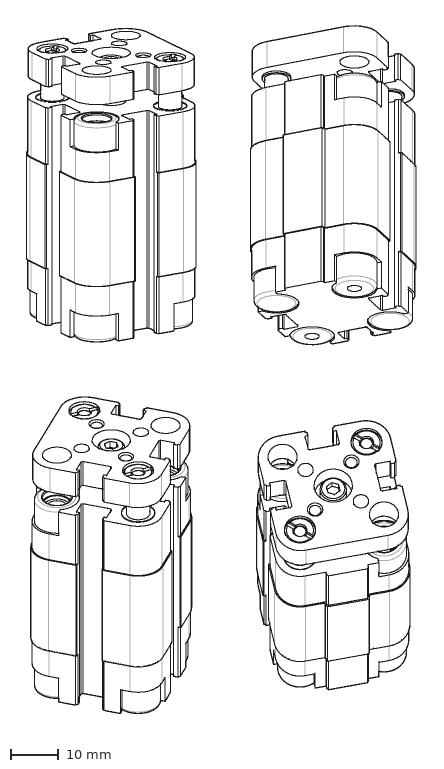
import cadquery as cq
import math

TOTAL_HEIGHT = 58.5
HOUSING_HEIGHT = 47.85
PLATE_THICKNESS = 6.0
PLATE_BOTTOM = TOTAL_HEIGHT - PLATE_THICKNESS
CORNER_PITCH = 9.0

MIDDLE_WIDTH = 29.0
END_WIDTH = 28.5
PLATE_WIDTH = 28.3
PLATE_CORNER_RADIUS = 5.3
MIDDLE_BOTTOM = 12.6
MIDDLE_TOP = 35.45

SLOT_NECK = 5.45
SLOT_WIDTH = 6.7
SLOT_FLOOR = 9.55
LIP_BACK = 12.9
CUT_MARGIN = 0.6
SLOT_FLOOR_CHAMFER = 0.3
END_LIP_ROUNDING = 0.4
MIDDLE_LIP_ROUNDING = 0.25

MIDDLE_RIB_WIDTH = 9.55
MIDDLE_RIB_REACH = 15.5
RIB_STEP = 0.3
RIB_BEVEL_WIDTH = 0.3
MIDDLE_BEVEL_HEIGHT = 0.8
END_BEVEL_HEIGHT = 0.4
END_RIB_WIDTH = MIDDLE_RIB_WIDTH - 2 * RIB_STEP
END_RIB_REACH = MIDDLE_RIB_REACH - RIB_STEP

BOSS_DIAMETER = 9.5
BOSS_ROUNDING = 0.7
POCKET_EDGE = 6.85
POCKET_HEIGHT = 6.0
BOSS_TOP = 47.95
BORE_RIM_DIAMETER = 6.5
BORE_DIAMETER = 6.0
BORE_DEPTH = 1.5
SEAT_DIAMETER = 5.5
SEAT_DEPTH = 0.8
SCREW_HOLE_DIAMETER = 3.0
SCREW_CONE_DIAMETER = 4.15
SCREW_CONE_DEPTH = 1.15

ROD_DIAMETER = 5.0
BUSH_DIAMETER = 7.0
BUSH_RECESS = 0.2
COLLAR_DIAMETER = 6.0
COLLAR_THICKNESS = 0.4
ROD_HEAD_DIAMETER = 6.5
ROD_HEAD_TOP = 5.7
ROD_HEAD_SINK = 0.35
ROD_HEAD_HEIGHT = 1.75
ROD_CENTRE_DIAMETER = 3.0
ROD_CENTRE_TOP = 2.45
ROD_CENTRE_SINK = 0.45
ROD_CENTRE_DEPTH = 1.15
ROD_SLOT_WIDTH = 1.0
ROD_SLOT_DEPTH = 0.7
ROD_SLOT_ANGLE = -45

PISTON_ROD_DIAMETER = 6.0
FLATS_WIDTH = 5.0
FLATS_HEIGHT = 2.7
COUNTERBORE_DIAMETER = 8.0
COUNTERBORE_DEPTH = 4.2
CAP_SCREW_DIAMETER = 5.5
CAP_SCREW_TOP = 4.85
CAP_SCREW_SINK = 1.2
HEX_FLATS = 2.6
HEX_DEPTH = 1.5
HEX_ANGLE = 30

ACCESS_HOLE_DIAMETER = 6.1
SMALL_HOLE_OFFSET = 4.9
SMALL_HOLE_DIAMETER = 3.2
THREAD_HOLE_DIAMETER = 2.45

ROD_DIAGONAL = [(-1, -1), (1, 1)]
SCREW_DIAGONAL = [(-1, 1), (1, -1)]
SLOT_ANGLES = [0, -90, 180]

BOTTOM_BOSS_ANGLES = [0, 90, 180, 270]
TOP_BOSS_ANGLES = [90, 270]


def on_corners(signs, offset):
    return [(sx * offset, sy * offset) for sx, sy in signs]


def cylinder(points, diameter, bottom, height):
    return cq.Workplane("XY").workplane(offset=bottom).pushPoints(points).circle(diameter / 2).extrude(height)


def cone(points, bottom_diameter, top_diameter, bottom, height):
    solid = cq.Solid.makeCone(bottom_diameter / 2, top_diameter / 2, height)
    return cq.Workplane("XY").pushPoints(points).eachpoint(
        lambda place: solid.moved(place).translate(cq.Vector(0, 0, bottom)), combine=True
    )


def turned(shape, angle):
    return shape.rotate((0, 0, 0), (0, 0, 1), angle)


def chamfered_plug(points, diameter, top_diameter, top, height):
    """Round plugs whose top edge has a 45 degree chamfer."""
    plug = cylinder(points, diameter, top - height, height)
    return plug.faces(">Z").edges().chamfer((diameter - top_diameter) / 2)


def rounded_square(width, radius, bottom, height):
    block = cq.Workplane("XY").workplane(offset=bottom).rect(width, width).extrude(height)
    return block.edges("|Z").fillet(radius)


def t_slots(width, lip_rounding, bottom, height):
    """Cutters for the three T-slots of a square section of the given width."""
    face = width / 2
    outside = face + CUT_MARGIN
    neck = SLOT_NECK / 2
    half = SLOT_WIDTH / 2
    profile = (
        cq.Workplane("XY")
        .workplane(offset=bottom)
        .moveTo(SLOT_FLOOR, SLOT_FLOOR_CHAMFER - half)
        .lineTo(SLOT_FLOOR + SLOT_FLOOR_CHAMFER, -half)
        .lineTo(LIP_BACK, -half)
        .lineTo(LIP_BACK, -neck)
        .lineTo(face - lip_rounding, -neck)
        .radiusArc((face, -neck - lip_rounding), -lip_rounding)
        .lineTo(outside, -neck - lip_rounding)
        .lineTo(outside, neck + lip_rounding)
        .lineTo(face, neck + lip_rounding)
        .radiusArc((face - lip_rounding, neck), -lip_rounding)
        .lineTo(LIP_BACK, neck)
        .lineTo(LIP_BACK, half)
        .lineTo(SLOT_FLOOR + SLOT_FLOOR_CHAMFER, half)
        .lineTo(SLOT_FLOOR, half - SLOT_FLOOR_CHAMFER)
        .close()
    )
    cutter = profile.extrude(height)
    slots = cq.Workplane("XY")
    for angle in SLOT_ANGLES:
        slots = slots.add(turned(cutter, angle))
    return slots.combine()


def rib(width, reach, bevel_height, bottom, height):
    half = width / 2
    profile = [
        (-half, 0),
        (-half, reach - bevel_height),
        (RIB_BEVEL_WIDTH - half, reach),
        (half - RIB_BEVEL_WIDTH, reach),
        (half, reach - bevel_height),
        (half, 0),
    ]
    return cq.Workplane("XY").workplane(offset=bottom).polyline(profile).close().extrude(height)


def housing_section(width, lip_rounding, section_rib, bottom, height):
    section = rounded_square(width, width / 2 - CORNER_PITCH, bottom, height)
    return section.union(section_rib).cut(t_slots(width, lip_rounding, bottom, height))


def middle_section(bottom, height):
    middle_rib = rib(MIDDLE_RIB_WIDTH, MIDDLE_RIB_REACH, MIDDLE_BEVEL_HEIGHT, bottom, height)
    return housing_section(MIDDLE_WIDTH, MIDDLE_LIP_ROUNDING, middle_rib, bottom, height)


def end_section(bottom, height):
    end_rib = rib(END_RIB_WIDTH, END_RIB_REACH, END_BEVEL_HEIGHT, bottom, height)
    return housing_section(END_WIDTH, END_LIP_ROUNDING, end_rib, bottom, height)


def shape_bosses(body):
    """Clear the corners and leave a round boss in each: four at the bottom and two at the top."""
    post = cylinder([(CORNER_PITCH, CORNER_PITCH)], BOSS_DIAMETER, 0, POCKET_HEIGHT)
    boss = post.faces("<Z").edges().fillet(BOSS_ROUNDING)
    reach = MIDDLE_WIDTH / 2 - POCKET_EDGE
    pocket = cq.Workplane("XY").box(reach, reach, POCKET_HEIGHT, centered=False)
    pocket = pocket.translate((POCKET_EDGE, POCKET_EDGE, 0)).union(post)
    for angle in BOTTOM_BOSS_ANGLES:
        body = body.cut(turned(pocket, angle)).union(turned(boss, angle))
    top_pocket = pocket.mirror("XY").translate((0, 0, BOSS_TOP))
    top_boss = boss.mirror("XY").translate((0, 0, BOSS_TOP))
    for angle in TOP_BOSS_ANGLES:
        body = body.cut(turned(top_pocket, angle)).union(turned(top_boss, angle))
    return body


def cut_screw_holes(body):
    """Through holes with a rimmed bore, a narrower seat and a cone below it at the top."""
    points = on_corners(SCREW_DIAGONAL, CORNER_PITCH)
    bore_floor = BOSS_TOP - BORE_DEPTH
    seat = bore_floor - SEAT_DEPTH
    body = body.cut(cylinder(points, SCREW_HOLE_DIAMETER, 0, BOSS_TOP))
    body = body.cut(cylinder(points, BORE_DIAMETER, bore_floor, BORE_DEPTH))
    rim = (BORE_RIM_DIAMETER - BORE_DIAMETER) / 2
    body = body.cut(cone(points, BORE_DIAMETER, BORE_RIM_DIAMETER, BOSS_TOP - rim, rim))
    body = body.cut(cylinder(points, SEAT_DIAMETER, seat, SEAT_DEPTH))
    return body.cut(
        cone(points, SCREW_HOLE_DIAMETER, SCREW_CONE_DIAMETER, seat - SCREW_CONE_DEPTH, SCREW_CONE_DEPTH)
    )


def make_housing():
    body = end_section(0, MIDDLE_BOTTOM)
    body = body.union(middle_section(MIDDLE_BOTTOM, MIDDLE_TOP - MIDDLE_BOTTOM))
    body = body.union(end_section(MIDDLE_TOP, HOUSING_HEIGHT - MIDDLE_TOP))
    body = shape_bosses(body)
    body = cut_screw_holes(body)
    rod_points = on_corners(ROD_DIAGONAL, CORNER_PITCH)
    return body.cut(cylinder(rod_points, BUSH_DIAMETER, HOUSING_HEIGHT - BUSH_RECESS, BUSH_RECESS))


def make_plate():
    plate = rounded_square(PLATE_WIDTH, PLATE_CORNER_RADIUS, PLATE_BOTTOM, PLATE_THICKNESS)
    plate = plate.cut(t_slots(PLATE_WIDTH, END_LIP_ROUNDING, PLATE_BOTTOM, PLATE_THICKNESS))
    access = on_corners(SCREW_DIAGONAL, CORNER_PITCH)
    plate = plate.cut(cylinder(access, ACCESS_HOLE_DIAMETER, PLATE_BOTTOM, PLATE_THICKNESS))
    plain = on_corners(SCREW_DIAGONAL, SMALL_HOLE_OFFSET)
    plate = plate.cut(cylinder(plain, SMALL_HOLE_DIAMETER, PLATE_BOTTOM, PLATE_THICKNESS))
    threaded = on_corners(ROD_DIAGONAL, SMALL_HOLE_OFFSET)
    plate = plate.cut(cylinder(threaded, THREAD_HOLE_DIAMETER, PLATE_BOTTOM, PLATE_THICKNESS))
    chamfer = (SMALL_HOLE_DIAMETER - THREAD_HOLE_DIAMETER) / 2
    return plate.cut(
        cone(threaded, THREAD_HOLE_DIAMETER, SMALL_HOLE_DIAMETER, TOTAL_HEIGHT - chamfer, chamfer)
    )


def add_guide_rods(plate):
    points = on_corners(ROD_DIAGONAL, CORNER_PITCH)
    rod_bottom = HOUSING_HEIGHT - BUSH_RECESS
    plate = plate.union(cylinder(points, ROD_DIAMETER, rod_bottom, PLATE_BOTTOM - rod_bottom))
    plate = plate.union(cylinder(points, COLLAR_DIAMETER, PLATE_BOTTOM - COLLAR_THICKNESS, COLLAR_THICKNESS))

    head_top = TOTAL_HEIGHT - ROD_HEAD_SINK
    slot_floor = head_top - ROD_SLOT_DEPTH
    plate = plate.cut(cylinder(points, ROD_HEAD_DIAMETER, TOTAL_HEIGHT - ROD_HEAD_HEIGHT, ROD_HEAD_HEIGHT))
    head_height = ROD_HEAD_HEIGHT - ROD_HEAD_SINK
    plate = plate.union(chamfered_plug(points, ROD_HEAD_DIAMETER, ROD_HEAD_TOP, head_top, head_height))
    bar = cq.Workplane("XY").rect(ROD_HEAD_DIAMETER, ROD_SLOT_WIDTH).extrude(ROD_SLOT_DEPTH)
    bar = turned(bar, ROD_SLOT_ANGLE)
    for x, y in points:
        plate = plate.cut(bar.translate((x, y, slot_floor)))

    plate = plate.cut(cylinder(points, ROD_CENTRE_DIAMETER, head_top - ROD_CENTRE_DEPTH, ROD_CENTRE_DEPTH))
    plug_top = head_top - ROD_CENTRE_SINK
    plug_height = ROD_CENTRE_DEPTH - ROD_CENTRE_SINK
    return plate.union(chamfered_plug(points, ROD_CENTRE_DIAMETER, ROD_CENTRE_TOP, plug_top, plug_height))


def add_piston_rod(plate):
    axis = [(0, 0)]
    rod_length = PLATE_BOTTOM - HOUSING_HEIGHT
    rod = cylinder(axis, PISTON_ROD_DIAMETER, HOUSING_HEIGHT, rod_length)
    flats = cq.Workplane("XY").workplane(offset=PLATE_BOTTOM - FLATS_HEIGHT)
    flats = flats.rect(PISTON_ROD_DIAMETER, PISTON_ROD_DIAMETER).rect(PISTON_ROD_DIAMETER, FLATS_WIDTH)
    rod = rod.cut(flats.extrude(FLATS_HEIGHT))

    counterbore_floor = TOTAL_HEIGHT - COUNTERBORE_DEPTH
    head_height = COUNTERBORE_DEPTH - CAP_SCREW_SINK
    head_top = TOTAL_HEIGHT - CAP_SCREW_SINK
    head = chamfered_plug(axis, CAP_SCREW_DIAMETER, CAP_SCREW_TOP, head_top, head_height)
    hex_corners = HEX_FLATS / math.cos(math.pi / 6)
    socket = cq.Workplane("XY").workplane(offset=head_top - HEX_DEPTH)
    socket = turned(socket.polygon(6, hex_corners).extrude(HEX_DEPTH), HEX_ANGLE)
    plate = plate.cut(cylinder(axis, COUNTERBORE_DIAMETER, counterbore_floor, COUNTERBORE_DEPTH))
    return plate.union(rod).union(head.cut(socket))


housing = make_housing()
moving_unit = add_piston_rod(add_guide_rods(make_plate()))

result = cq.Compound.makeCompound([housing.solids().val(), moving_unit.solids().val()])